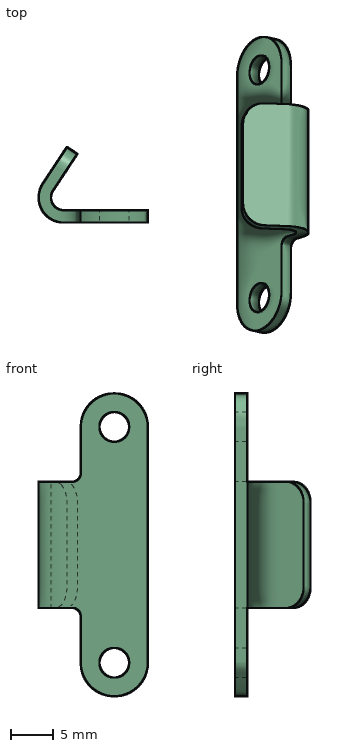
import cadquery as cq
import math

thickness = 1.5
plate_width = 8.0
plate_height = 36.0
hole_diameter = 3.5

hook_height = 15.0
hook_reach = 9.0
hook_depth = 9.0
inner_bend_radius = 1.5
flange_angle = 56.5
flange_corner_radius = 2.5
root_fillet_radius = 1.0

end_radius = plate_width / 2
hole_offset = plate_height / 2 - end_radius
outer_bend_radius = inner_bend_radius + thickness
bend_x = outer_bend_radius - hook_reach
bend_y = outer_bend_radius

along = (math.cos(math.radians(flange_angle)), math.sin(math.radians(flange_angle)))
outward = (-along[1], along[0])
flange_length = (hook_depth - bend_y - outer_bend_radius * outward[1]) / along[1]


def bend_point(radius, direction):
    """Point at a radius from the bend axis, in a unit direction."""
    return (bend_x + radius * direction[0], bend_y + radius * direction[1])


def flange_tip(radius):
    """Free end of the flange face that is tangent to the bend at a radius."""
    start_x, start_y = bend_point(radius, outward)
    return (start_x + flange_length * along[0], start_y + flange_length * along[1])


def make_plate():
    return cq.Workplane("XZ").slot2D(plate_height, plate_width, 90).extrude(-thickness)


def make_hook():
    middle_angle = math.radians(180 + flange_angle / 2)
    middle = (math.cos(middle_angle), math.sin(middle_angle))
    return (
        cq.Workplane("XY")
        .moveTo(0, 0)
        .lineTo(bend_x, 0)
        .threePointArc(bend_point(outer_bend_radius, middle), bend_point(outer_bend_radius, outward))
        .lineTo(*flange_tip(outer_bend_radius))
        .lineTo(*flange_tip(inner_bend_radius))
        .lineTo(*bend_point(inner_bend_radius, outward))
        .threePointArc(bend_point(inner_bend_radius, middle), (bend_x, thickness))
        .lineTo(0, thickness)
        .close()
        .extrude(hook_height / 2, both=True)
    )


def round_flange_corners(hook):
    outer_tip = flange_tip(outer_bend_radius)
    inner_tip = flange_tip(inner_bend_radius)
    middle_x = (outer_tip[0] + inner_tip[0]) / 2
    middle_y = (outer_tip[1] + inner_tip[1]) / 2
    for side in (-1, 1):
        corner = cq.selectors.NearestToPointSelector((middle_x, middle_y, side * hook_height / 2))
        hook = hook.edges(corner).fillet(flange_corner_radius)
    return hook


def fillet_hook_roots(body):
    for side in (-1, 1):
        root_point = (-plate_width / 2, thickness / 2, side * hook_height / 2)
        root = cq.selectors.NearestToPointSelector(root_point)
        body = body.edges(root).fillet(root_fillet_radius)
    return body


def drill_holes(body):
    holes = (
        cq.Workplane("XZ")
        .pushPoints([(0, -hole_offset), (0, hole_offset)])
        .circle(hole_diameter / 2)
        .extrude(-thickness)
    )
    return body.cut(holes)


bracket = make_plate().union(round_flange_corners(make_hook()))
result = drill_holes(fillet_hook_roots(bracket))